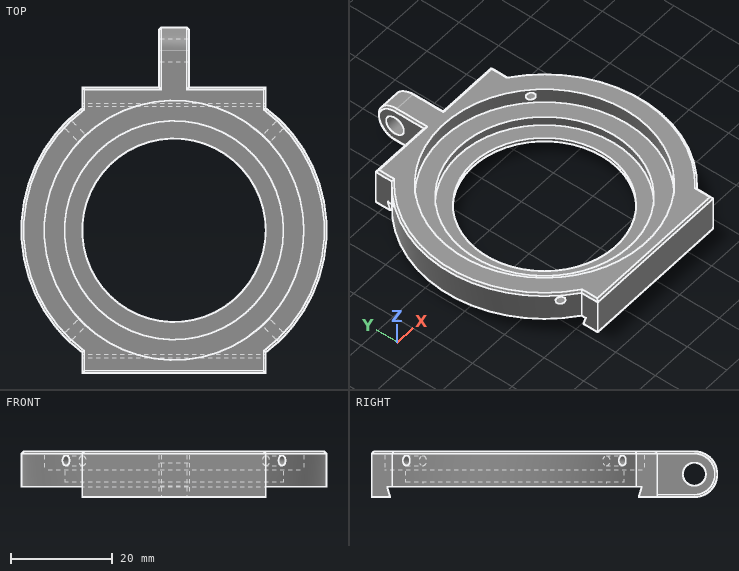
import cadquery as cq

total_length = 67.9
total_height = 9.0
rail_height = 2.05
edge_chamfer = 0.5

ring_diameter = 60.0
pocket_diameter = 51.0
pocket_depth = 3.7
seat_diameter = 43.0
seat_depth = 6.0
through_diameter = 36.0

block_width = 36.1
block_length = 56.1
rail_foot_width = 3.7
rail_neck_width = 3.05

lug_width = 6.0
lug_radius = total_height / 2
lug_hole_diameter = 4.5
lug_center_y = total_length - block_length / 2 - lug_radius

screw_diameter = 2.0
screw_drop = 1.8
screw_angles = (45, 135, 225, 315)


def disc(diameter, bottom, top):
    return cq.Workplane("XY").workplane(offset=bottom).circle(diameter / 2).extrude(top - bottom)


def make_body():
    """Ring cut flat at the block ends, joined to the block under one chamfered top edge."""
    ring = disc(ring_diameter, rail_height, total_height)
    end_trim = cq.Workplane("XY").box(ring_diameter, block_length, 2 * total_height)
    ring = ring.intersect(end_trim)
    block = (
        cq.Workplane("XY")
        .workplane(offset=rail_height)
        .rect(block_width, block_length)
        .extrude(total_height - rail_height)
    )
    return ring.union(block).faces(">Z").chamfer(edge_chamfer)


def make_rail():
    """Rail under the -Y end, with a sloping inner flank."""
    outer_y = -block_length / 2
    return (
        cq.Workplane("YZ")
        .moveTo(outer_y, 0)
        .lineTo(outer_y + rail_foot_width, 0)
        .lineTo(outer_y + rail_neck_width, rail_height)
        .lineTo(outer_y, rail_height)
        .close()
        .extrude(block_width / 2, both=True)
    )


def make_lug():
    """Rounded lug with both side outlines chamfered, rooted inside the block."""
    root_y = block_length / 2 - edge_chamfer
    lug = (
        cq.Workplane("YZ")
        .moveTo(root_y, 0)
        .lineTo(lug_center_y, 0)
        .threePointArc((lug_center_y + lug_radius, lug_radius), (lug_center_y, total_height))
        .lineTo(root_y, total_height)
        .close()
        .extrude(lug_width / 2, both=True)
    )
    lug = lug.faces("<X or >X").edges("not <Y").chamfer(edge_chamfer)
    hole = (
        cq.Workplane("YZ")
        .center(lug_center_y, lug_radius)
        .circle(lug_hole_diameter / 2)
        .extrude(lug_width, both=True)
    )
    return lug.cut(hole)


def make_screw_hole(angle):
    """Radial hole running from inside the pocket to beyond the ring."""
    return (
        cq.Workplane("YZ")
        .center(0, total_height - screw_drop)
        .circle(screw_diameter / 2)
        .extrude(ring_diameter)
        .rotate((0, 0, 0), (0, 0, 1), angle)
    )


front_rail = make_rail()
result = make_body().union(front_rail).union(front_rail.mirror("XZ")).union(make_lug())

result = result.cut(disc(pocket_diameter, total_height - pocket_depth, total_height))
result = result.cut(disc(seat_diameter, total_height - seat_depth, total_height))
result = result.cut(disc(through_diameter, 0, total_height))

for screw_angle in screw_angles:
    result = result.cut(make_screw_hole(screw_angle))